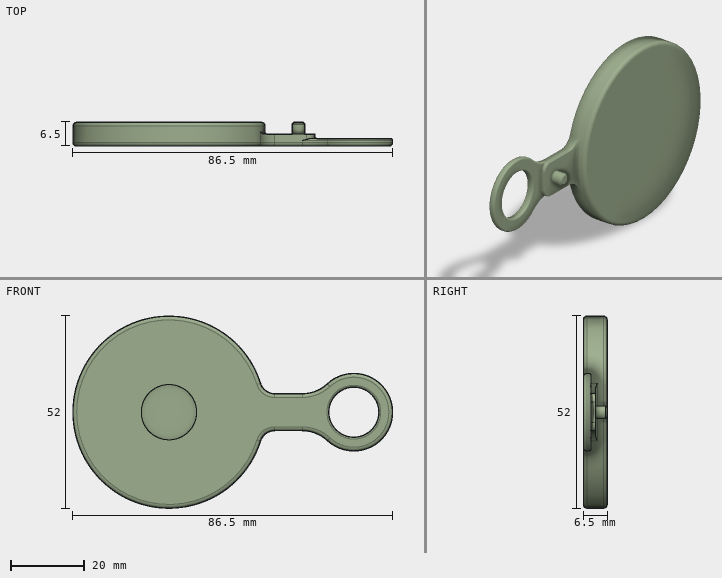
import cadquery as cq
import math

total_depth = 6.5
disc_radius = 52.0 / 2
edge_round = 1.0
recess_diameter = 15.0
recess_depth = 0.5

ring_center_x = 50.0
ring_radius = 21.0 / 2
ring_thickness = 2.1
ring_hole_diameter = 13.5
small_round = 0.5

arm_half_width = 5.0
root_radius = 4.0
neck_radius = 9.95
tongue_end_x = ring_center_x - ring_radius
tongue_thickness = 3.3
tongue_corner_radius = 2.25

pin_x = 35.0
pin_diameter = 3.5

front_y = -total_depth / 2
body_y = front_y + edge_round
back_y = total_depth / 2
TOLERANCE = 0.01


def front_plane(y=front_y):
    """Sketch plane at depth y: local axes are X and Z, extruding towards +Y."""
    return cq.Workplane(cq.Plane(origin=(0, y, 0), xDir=(1, 0, 0), normal=(0, -1, 0)))


def blend_points(circle_radius, blend_radius):
    """Offsets from a circle's centre for a concave arc joining it to the arm edge.

    Returns the tangent point on the circle, the arc middle and the tangent point on the arm.
    """
    center_z = arm_half_width + blend_radius
    center_x = math.sqrt((circle_radius + blend_radius) ** 2 - center_z ** 2)
    angle = math.atan2(center_z, center_x)
    on_circle = (circle_radius * math.cos(angle), circle_radius * math.sin(angle))
    middle_angle = (angle + math.pi / 2) / 2
    middle = (
        center_x - blend_radius * math.cos(middle_angle),
        center_z - blend_radius * math.sin(middle_angle),
    )
    return on_circle, middle, (center_x, arm_half_width)


def below(point):
    """Mirror a point across the arm's centre line."""
    return (point[0], -point[1])


root_circle, root_middle, root_arm = blend_points(disc_radius, root_radius)
neck_circle, neck_middle, neck_arm = [
    (ring_center_x - x, z) for x, z in blend_points(ring_radius, neck_radius)
]


def make_plate():
    """Thin plate under the whole part: disc, arm and ring in one smooth outline."""
    plate = (
        front_plane()
        .moveTo(*below(root_arm))
        .threePointArc(below(root_middle), below(root_circle))
        .threePointArc((-disc_radius, 0), root_circle)
        .threePointArc(root_middle, root_arm)
        .lineTo(*neck_arm)
        .threePointArc(neck_middle, neck_circle)
        .threePointArc((ring_center_x + ring_radius, 0), below(neck_circle))
        .threePointArc(below(neck_middle), below(neck_arm))
        .close()
        .extrude(-ring_thickness)
    )
    plate = plate.faces("<Y").edges().fillet(edge_round)
    ring_zone = cq.selectors.BoxSelector(
        (neck_arm[0], front_y + ring_thickness - TOLERANCE, -disc_radius),
        (ring_center_x + ring_radius, back_y, disc_radius),
    )
    return plate.faces(">Y").edges(ring_zone).fillet(small_round)


def tongue_prism(y_from, y_to):
    """Arm footprint, flaring into the disc and ending before the ring hole, between two depths."""
    corner_x = tongue_end_x - tongue_corner_radius
    corner_z = arm_half_width - tongue_corner_radius
    corner_middle = (
        corner_x + tongue_corner_radius * math.sqrt(0.5),
        corner_z + tongue_corner_radius * math.sqrt(0.5),
    )
    return (
        front_plane(y_from)
        .moveTo(*below(root_arm))
        .threePointArc(below(root_middle), below(root_circle))
        .lineTo(*root_circle)
        .threePointArc(root_middle, root_arm)
        .lineTo(corner_x, arm_half_width)
        .threePointArc(corner_middle, (tongue_end_x, corner_z))
        .lineTo(tongue_end_x, -corner_z)
        .threePointArc(below(corner_middle), (corner_x, -arm_half_width))
        .close()
        .extrude(y_from - y_to)
    )


def make_tongue():
    """Thicker layer of the arm, with a concave foot where its end drops to the ring."""
    tongue = tongue_prism(body_y, front_y + tongue_thickness)
    step_y = front_y + ring_thickness
    corner_z = arm_half_width - tongue_corner_radius
    foot = (
        cq.Workplane("XY")
        .moveTo(tongue_end_x, step_y)
        .lineTo(tongue_end_x + small_round, step_y)
        .radiusArc((tongue_end_x, step_y + small_round), small_round)
        .close()
        .extrude(corner_z, both=True)
    )
    return tongue.union(foot)


def make_disc_foot():
    """Concave foot where the disc wall rises from the back of the tongue."""
    tongue_back_y = front_y + tongue_thickness
    ring = (
        cq.Workplane("XY")
        .moveTo(disc_radius - edge_round, tongue_back_y)
        .lineTo(disc_radius + small_round, tongue_back_y)
        .radiusArc((disc_radius, tongue_back_y + small_round), small_round)
        .lineTo(disc_radius - edge_round, tongue_back_y + small_round)
        .close()
        .revolve(360, (0, 0), (0, 1))
    )
    return ring.intersect(tongue_prism(body_y, back_y))


def make_disc():
    """Disc from behind the front rounding to the full depth, with a rounded back rim."""
    disc = front_plane(body_y).circle(disc_radius).extrude(body_y - back_y)
    return disc.faces(">Y").edges().fillet(edge_round)


def make_pin():
    """Locating pin standing on the tongue, level with the back of the disc."""
    pin = front_plane(body_y).center(pin_x, 0).circle(pin_diameter / 2).extrude(body_y - back_y)
    return pin.faces(">Y").edges().chamfer(small_round)


def make_ring_hole():
    """Cutter for the ring hole, widened at both mouths to round its rims."""
    bore_radius = ring_hole_diameter / 2
    mouth_radius = bore_radius + small_round
    diagonal = small_round * math.sqrt(0.5)
    inset = small_round - diagonal
    profile = (
        cq.Workplane("XY")
        .lineTo(mouth_radius, 0)
        .threePointArc((bore_radius + inset, inset), (bore_radius, small_round))
        .lineTo(bore_radius, ring_thickness - small_round)
        .threePointArc((bore_radius + inset, ring_thickness - inset), (mouth_radius, ring_thickness))
        .lineTo(0, ring_thickness)
        .close()
    )
    return profile.revolve(360, (0, 0), (0, 1)).translate((ring_center_x, front_y, 0))


recess = front_plane().circle(recess_diameter / 2).extrude(-recess_depth)

result = make_plate().union(make_tongue()).union(make_disc()).union(make_disc_foot()).union(make_pin())
result = result.cut(make_ring_hole()).cut(recess)